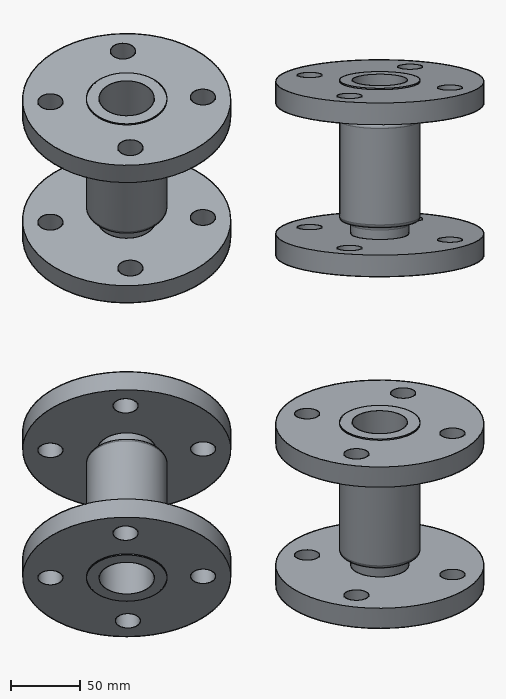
import cadquery as cq
import math

total_height = 130.0
flange_diameter = 150.0

flange_thickness = 16.0
raised_face_height = 1.0
raised_face_diameter = 58.0

body_diameter = raised_face_diameter
body_length = 76.0
neck_diameter = 42.0
shoulder_rounding = 2.5
neck_fillet = 3.0

bore_diameter = 39.8
bolt_hole_diameter = 18.0
bolt_circle_diameter = 110.0
bolt_hole_count = 4
first_bolt_angle = 45.0


def cylinder(diameter, bottom, top):
    """Upright cylinder on the Z axis between two heights."""
    return cq.Workplane("XY").workplane(offset=bottom).circle(diameter / 2).extrude(top - bottom)


def body_with_necks():
    """Solid of revolution: rounded body shoulders blending into the two necks."""
    body_radius = body_diameter / 2
    neck_radius = neck_diameter / 2
    neck_end = total_height / 2 - raised_face_height - flange_thickness
    shoulder = body_length / 2
    return (
        cq.Workplane("XZ")
        .moveTo(0, -neck_end)
        .lineTo(neck_radius, -neck_end)
        .lineTo(neck_radius, -shoulder - neck_fillet)
        .radiusArc((neck_radius + neck_fillet, -shoulder), neck_fillet)
        .lineTo(body_radius - shoulder_rounding, -shoulder)
        .radiusArc((body_radius, -shoulder + shoulder_rounding), -shoulder_rounding)
        .lineTo(body_radius, shoulder - shoulder_rounding)
        .radiusArc((body_radius - shoulder_rounding, shoulder), -shoulder_rounding)
        .lineTo(neck_radius + neck_fillet, shoulder)
        .radiusArc((neck_radius, shoulder + neck_fillet), neck_fillet)
        .lineTo(neck_radius, neck_end)
        .lineTo(0, neck_end)
        .close()
        .revolve(360, (0, 0, 0), (0, 1, 0))
    )


def upper_flange():
    """Flange disc, its raised face and its bolt holes, at the +Z end."""
    top = total_height / 2
    disc_top = top - raised_face_height
    disc_bottom = disc_top - flange_thickness
    flange = cylinder(flange_diameter, disc_bottom, disc_top)
    flange = flange.union(cylinder(raised_face_diameter, disc_bottom, top))
    bolt_hole = cylinder(bolt_hole_diameter, disc_bottom, disc_top)
    for i in range(bolt_hole_count):
        angle = math.radians(first_bolt_angle + i * 360 / bolt_hole_count)
        x = bolt_circle_diameter / 2 * math.cos(angle)
        y = bolt_circle_diameter / 2 * math.sin(angle)
        flange = flange.cut(bolt_hole.translate((x, y, 0)))
    return flange


flange = upper_flange()
bore = cylinder(bore_diameter, -total_height / 2, total_height / 2)
result = body_with_necks().union(flange).union(flange.mirror("XY")).cut(bore)